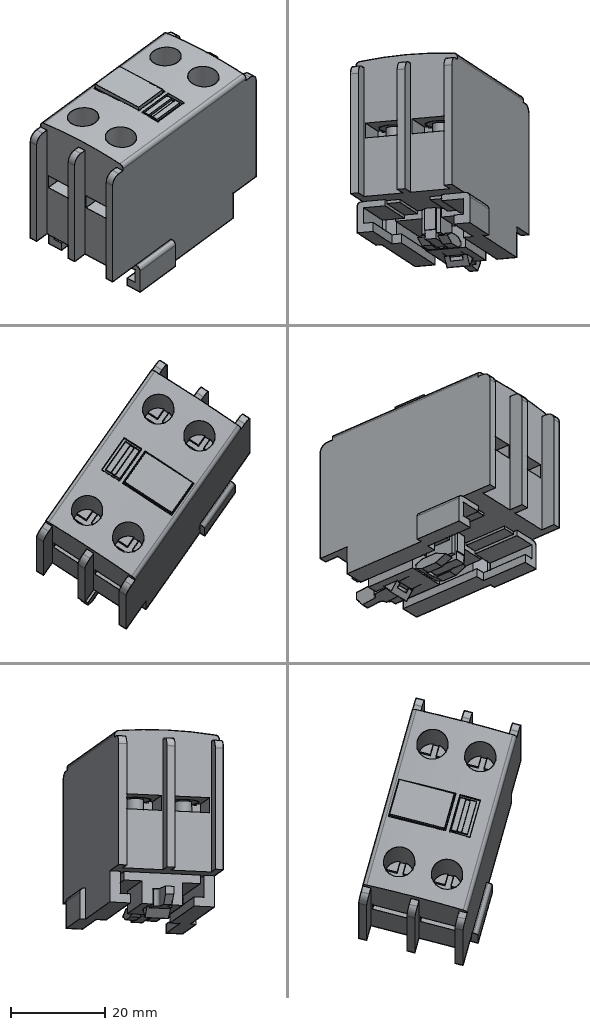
import cadquery as cq
import math

body_width = 23.0
body_length = 40.25
fin_length = 47.0
fin_height = 28.2
fin_thickness = 1.8
fin_corner_radius = 2.0
shoulder_height = 29.5
crown_height = 30.2
shoulder_radius = 1.0

pole_x = 5.25
screw_y = 13.5
well_diameter = 6.65
screw_head_diameter = 6.3
screw_shaft_diameter = 3.6
well_bottom = 15.75
screw_head_top = 19.75
drive_slot_width = 1.25
drive_slot_depth = 0.95
wire_slot_width = 8.15
wire_slot_bottom = 12.8
wire_slot_top = 16.05
wire_slot_inner_y = 12.45

recess_floor = 29.65
recess_width_y = 8.5
label_recess_x = (-10.15, 2.4)
label_plate_x = (-10.0, 2.1)
label_plate_width_y = 7.95
label_top = 30.75
window_x = (3.3, 7.75)
window_floor = 29.35
slider_x = (3.5, 7.1)
slider_length_y = 7.5
slider_top = 29.9
groove_x = 5.25
groove_width = 1.05
groove_depth = 0.55
groove_corner_radius = 0.38
groove_end_wall = 0.05

foot_bottom = -6.7
foot_length = 32.0
foot_front = -foot_length / 2
foot_back = foot_length / 2
hook_back = -4.4
hook_width = 25.5
hook_wall = 1.45
hook_roof_thickness = 1.35
hook_roof_inner_x = 6.4
hook_corner_radius = 1.0
lip_top = -4.75
hook_lip_inner_x = 9.15
rear_lip_inner_x = 7.0
wall_front_inner_x = 10.5
wall_taper_length = 2.8
roof_strip_inner_x = 3.45
roof_strip_thickness = 0.65
roof_strip_setback = 0.95
roof_half_width = 8.35
roof_thickness = 1.85
block_half_width = 4.45
block_front = 3.75

post_half_width = 1.2
post_front = -5.88
post_tip_front = -5.65
post_tip_top = -4.75
shoulder_half_width = 2.05
shoulder_front = -5.15
shoulder_bottom = -5.35
post_back = 1.9

nose_y = 0.2
nose_z = -5.88
nose_half_height = 1.18
nose_half_length = 4.65
nose_flat_half_length = 1.9
nose_notch_back = 2.6
nose_width = 6.7
lever_half_width = 2.05
lever_front = 4.45
lever_back = 16.5
lever_tilt = math.tan(math.radians(4.5))
lever_top_at_origin = -2.15
lever_bottom_at_origin = -5.95
tab_end = 22.32
tab_half_width = 0.9
tab_fillet = 1.0
tab_chamfer_top = -5.6
tab_chamfer_start = 20.7
tooth_half_width = 2.6
tooth_notch_half_width = 1.4
tooth_tip = (11.37, -8.85)
tooth_back_root = 13.5
tooth_front_root = 9.5
tooth_root_z = -6.45
tooth_notch_bottom = -7.65


def box(x_range, y_range, z_range):
    """Box between the given limits along each axis."""
    size = [limits[1] - limits[0] for limits in (x_range, y_range, z_range)]
    corner = (x_range[0], y_range[0], z_range[0])
    return cq.Workplane("XY").box(*size, centered=False).translate(corner)


def centered_range(width):
    return (-width / 2, width / 2)


def mirrored_pair(shape):
    """The shape together with its mirror image across the YZ plane."""
    return shape.union(shape.mirror("YZ"))


def prism_along_x(points, half_width):
    """Side outline of (y, z) points extruded equally to both sides of X = 0."""
    return cq.Workplane("YZ").polyline(points).close().extrude(half_width, both=True)


def terminal_block():
    """Main block with a slightly crowned top and rounded long edges."""
    half = body_width / 2
    return (
        cq.Workplane("XZ")
        .moveTo(-half, 0)
        .lineTo(half, 0)
        .lineTo(half, shoulder_height)
        .threePointArc((0, crown_height), (-half, shoulder_height))
        .close()
        .extrude(body_length / 2, both=True)
        .edges("|Y and (>X or <X) and (not <Z)")
        .fillet(shoulder_radius)
    )


def fin(x_center):
    """Barrier plate that stands out past both ends of the block."""
    plate = box(centered_range(fin_thickness), centered_range(fin_length), (0, fin_height))
    plate = plate.edges("|X and >Z").fillet(fin_corner_radius)
    return plate.translate((x_center, 0, 0))


def terminal_cavity(x_center, side):
    """Screw well and the wire slot below it; side is the sign of Y."""
    well = (
        cq.Workplane("XY", origin=(x_center, side * screw_y, well_bottom))
        .circle(well_diameter / 2)
        .extrude(crown_height - well_bottom)
    )
    y_range = sorted((side * wire_slot_inner_y, side * body_length / 2))
    slot = box(centered_range(wire_slot_width), y_range, (wire_slot_bottom, wire_slot_top))
    return well.union(slot.translate((x_center, 0, 0)))


def terminal_screw(x_center, side):
    """Cross-slotted screw standing on the floor of its wire slot."""
    shaft = (
        cq.Workplane("XY")
        .workplane(offset=wire_slot_bottom)
        .circle(screw_shaft_diameter / 2)
        .extrude(wire_slot_top - wire_slot_bottom)
    )
    head = (
        cq.Workplane("XY")
        .workplane(offset=wire_slot_top)
        .circle(screw_head_diameter / 2)
        .extrude(screw_head_top - wire_slot_top)
    )
    drive_z = (screw_head_top - drive_slot_depth, screw_head_top)
    for angle in (0, 90):
        groove = box(centered_range(screw_head_diameter), centered_range(drive_slot_width), drive_z)
        head = head.cut(groove.rotate((0, 0, 0), (0, 0, 1), angle))
    return shaft.union(head).translate((x_center, side * screw_y, 0))


def add_label(body):
    """Flat label plate standing in a shallow recess."""
    recess_y = centered_range(recess_width_y)
    recess = box(label_recess_x, recess_y, (recess_floor, label_top))
    plate = box(label_plate_x, centered_range(label_plate_width_y), (recess_floor, label_top))
    return body.cut(recess).union(plate)


def add_window(body):
    """Window recess with a raised slider that has a finger groove along its middle."""
    recess = box(window_x, centered_range(recess_width_y), (window_floor, crown_height))
    slider = box(slider_x, centered_range(slider_length_y), (window_floor, slider_top))
    groove_y = centered_range(slider_length_y - groove_end_wall * 2)
    groove = box(centered_range(groove_width), groove_y, (slider_top - groove_depth, slider_top))
    groove = groove.edges("|Z").fillet(groove_corner_radius).translate((groove_x, 0, 0))
    return body.cut(recess).union(slider).cut(groove)


def hook():
    """C-shaped rail hook on the +X side, with the roof strip beside it."""
    y_range = (foot_front, hook_back)
    outer_x = hook_width / 2
    shell = box((hook_roof_inner_x, outer_x), y_range, (foot_bottom, 0))
    shell = shell.edges("|Y and >X and >Z").fillet(hook_corner_radius)
    throat = box((hook_roof_inner_x, outer_x - hook_wall), y_range, (lip_top, -hook_roof_thickness))
    mouth = box((hook_roof_inner_x, hook_lip_inner_x), y_range, (foot_bottom, lip_top))
    strip_y = (foot_front + roof_strip_setback, hook_back)
    strip = box((roof_strip_inner_x, hook_roof_inner_x), strip_y, (-roof_strip_thickness, 0))
    return shell.cut(throat).cut(mouth).union(strip)


def rear_wall():
    """Foot side wall behind the +X hook; its inner face tapers, and a lip runs along its bottom."""
    wall = (
        cq.Workplane("XY")
        .workplane(offset=foot_bottom)
        .polyline([
            (body_width / 2, hook_back),
            (wall_front_inner_x, hook_back),
            (hook_lip_inner_x, hook_back + wall_taper_length),
            (hook_lip_inner_x, foot_back),
            (body_width / 2, foot_back),
        ])
        .close()
        .extrude(-foot_bottom)
    )
    lip = box((rear_lip_inner_x, body_width / 2), (hook_back, foot_back), (foot_bottom, lip_top))
    return wall.union(lip)


def foot():
    """Hooks, side walls, roof plate, latch block and bearing post."""
    roof = box((-roof_half_width, roof_half_width), (hook_back, foot_back), (-roof_thickness, 0))
    block_x = (-block_half_width, block_half_width)
    block = box(block_x, (block_front, foot_back), (foot_bottom, 0))
    post_x = (-post_half_width, post_half_width)
    post = box(post_x, (post_front, post_back), (post_tip_top, 0))
    post_tip = box(post_x, (post_tip_front, post_back), (foot_bottom, post_tip_top))
    shoulder_x = (-shoulder_half_width, shoulder_half_width)
    shoulder = box(shoulder_x, (shoulder_front, post_back), (shoulder_bottom, 0))
    sides = mirrored_pair(hook()).union(mirrored_pair(rear_wall()))
    return sides.union(roof).union(block).union(post).union(post_tip).union(shoulder)


def lever_height(y, height_at_origin):
    """Height of a lever face, which falls towards +Y."""
    return height_at_origin - lever_tilt * y


def latch_nose():
    """Flattened six-sided bar across the front end of the latch, notched to straddle the post."""
    front = nose_y - nose_half_length
    back = nose_y + nose_half_length
    top = nose_z + nose_half_height
    bottom = nose_z - nose_half_height
    bar = prism_along_x(
        [
            (front, nose_z),
            (nose_y - nose_flat_half_length, top),
            (nose_y + nose_flat_half_length, top),
            (back, nose_z),
            (nose_y + nose_flat_half_length, bottom),
            (nose_y - nose_flat_half_length, bottom),
        ],
        nose_width / 2,
    )
    notch = box((-post_half_width, post_half_width), (front, nose_notch_back), (bottom, top))
    return bar.cut(notch)


def latch_lever():
    """Tilted lever that necks down through concave corners to a finger tab."""
    profile = prism_along_x(
        [
            (lever_front, lever_height(lever_front, lever_top_at_origin)),
            (tab_end, lever_height(tab_end, lever_top_at_origin)),
            (tab_end, tab_chamfer_top),
            (tab_chamfer_start, lever_height(tab_chamfer_start, lever_bottom_at_origin)),
            (lever_front, lever_height(lever_front, lever_bottom_at_origin)),
        ],
        lever_half_width,
    )
    neck = box((tab_half_width, lever_half_width), (lever_back, tab_end), (tooth_tip[1], 0))
    neck = neck.edges("|Z and <X and <Y").fillet(tab_fillet)
    return profile.cut(mirrored_pair(neck))


def latch_tooth():
    """Pointed catch under the lever, notched in the middle of its front slope."""
    tooth = prism_along_x(
        [(tooth_front_root, tooth_root_z), tooth_tip, (tooth_back_root, tooth_root_z)],
        tooth_half_width,
    )
    notch_depth = (tooth_root_z - tooth_notch_bottom) / (tooth_root_z - tooth_tip[1])
    notch_back = tooth_front_root + notch_depth * (tooth_tip[0] - tooth_front_root)
    notch_x = (-tooth_notch_half_width, tooth_notch_half_width)
    return tooth.cut(box(notch_x, (tooth_front_root, notch_back), (tooth_notch_bottom, tooth_root_z)))


def make_latch():
    return latch_nose().union(latch_lever()).union(latch_tooth())


def make_housing(latch):
    """Housing with its terminals, top details and foot, recessed to receive the latch."""
    body = terminal_block()
    for x in (-1, 0, 1):
        body = body.union(fin(x * (body_width - fin_thickness) / 2))
    for x in (-pole_x, pole_x):
        for side in (-1, 1):
            body = body.cut(terminal_cavity(x, side))
            body = body.union(terminal_screw(x, side))
    body = add_window(add_label(body))
    return body.union(foot()).cut(latch)


latch = make_latch()
housing = make_housing(latch)

result = cq.Compound.makeCompound([housing.solids().val(), latch.solids().val()])